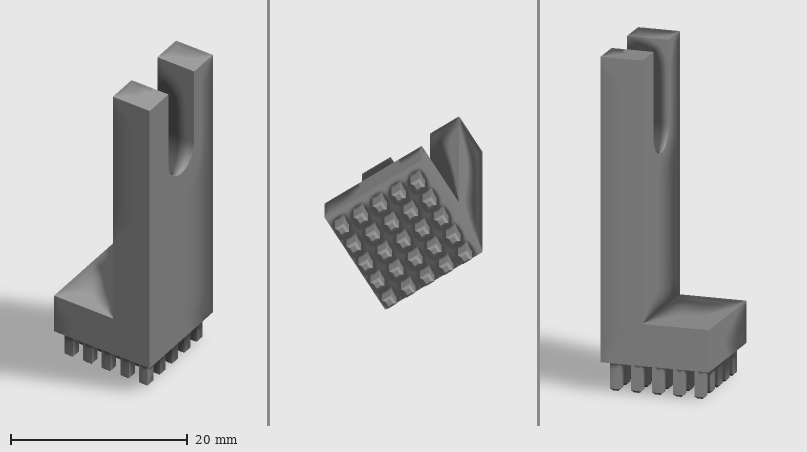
import cadquery as cq

total_height = 39.5
base_side = 13.0
base_thickness = 4.98
plate_thickness = 5.0

slot_width = 5.3
slot_depth = 12.65

pins_per_side = 5
pin_pitch = 2.53
pin_width = 1.2
pin_length = 3.5
pin_chamfer = 0.28

plate_top = total_height - pin_length
plate_center_x = (base_side - plate_thickness) / 2
slot_radius = slot_width / 2
slot_center_z = plate_top - slot_depth + slot_radius


def l_shaped_body():
    """Square base with an upright plate flush with its +X side."""
    base = cq.Workplane("XY").box(base_side, base_side, base_thickness, centered=(True, True, False))
    plate = (
        cq.Workplane("XY")
        .center(plate_center_x, 0)
        .box(plate_thickness, base_side, plate_top, centered=(True, True, False))
    )
    return base.union(plate)


def slot_cutter():
    """Open-topped slot with a round lower end, running through the plate along X."""
    return (
        cq.Workplane("YZ")
        .moveTo(-slot_radius, plate_top)
        .lineTo(-slot_radius, slot_center_z)
        .threePointArc((0, slot_center_z - slot_radius), (slot_radius, slot_center_z))
        .lineTo(slot_radius, plate_top)
        .close()
        .extrude(base_side)
    )


def pin_grid():
    """Square grid of square pins below the base, with chamfered tips."""
    return (
        cq.Workplane("XY")
        .rarray(pin_pitch, pin_pitch, pins_per_side, pins_per_side)
        .rect(pin_width, pin_width)
        .extrude(-pin_length)
        .faces("<Z")
        .edges()
        .chamfer(pin_chamfer)
    )


result = l_shaped_body().cut(slot_cutter()).union(pin_grid())